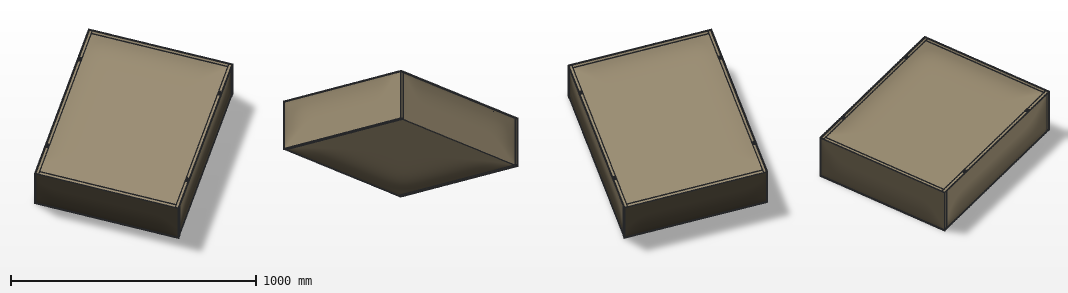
import cadquery as cq

sheet = 1.9
width = 613.5
length = 762.0
total_height = 210.0
head_height = 3.0
flange = 16.0
corner_relief = 3.0

screw_span = 594.0
screw_spacing = 457.0
shank_diameter = 4.8
shank_length = 11.5
head_diameter = 10.0
head_top_diameter = 7.2
socket_diameter = 4.35
socket_depth = 1.5
keyhole_diameter = 11.5
keyhole_travel = 6.0

cover_top = total_height - head_height
cover_bottom = cover_top - sheet
flange_bottom = cover_bottom - sheet
wrapper_width = width - 2 * sheet
wrapper_length = length - 2 * sheet
top_opening_width = width - 2 * flange
screw_x = screw_span / 2
screw_y = screw_spacing / 2
screw_points = [(x, y) for x in (-screw_x, screw_x) for y in (-screw_y, screw_y)]


def block(x_size, y_size, z_low, z_high):
    """Box centred on the Z axis between two heights."""
    return cq.Workplane("XY").workplane(offset=z_low).rect(x_size, y_size).extrude(z_high - z_low)


def rods(diameter, z_low, z_high):
    """Upright cylinders on all screw axes."""
    level = cq.Workplane("XY").workplane(offset=z_low).pushPoints(screw_points)
    return level.circle(diameter / 2).extrude(z_high - z_low)


def make_wrapper():
    """Floor and two side walls, each wall with a flange turned in under the cover."""
    body = block(wrapper_width, wrapper_length, 0, cover_bottom)
    inside = block(wrapper_width - 2 * sheet, wrapper_length, sheet, flange_bottom)
    opening = block(top_opening_width, wrapper_length, flange_bottom, cover_bottom)
    screw_holes = rods(shank_diameter, flange_bottom, cover_bottom)
    return body.cut(inside).cut(opening).cut(screw_holes)


def make_end_plate():
    """End plate at -Y: side flanges lap the outside of the wrapper's walls, a bottom flange
    rests on its floor, and a top flange lies between its top flanges."""
    front_y = -length / 2
    flange_y = front_y + flange / 2
    body = block(width, flange, 0, cover_bottom).translate((0, flange_y, 0))
    interior = block(wrapper_width - 2 * sheet, wrapper_length, 2 * sheet, flange_bottom)
    plate = body.cut(make_wrapper()).cut(interior)
    side_bottoms = block(width, flange, 0, corner_relief).translate((0, flange_y + sheet, 0))
    floor_room = block(wrapper_width, length, 0, corner_relief)
    return plate.cut(side_bottoms.cut(floor_room))


def make_cover():
    """Flat cover with a keyhole at each screw: a slot as wide as the shank, its large end toward -Y."""
    cover = block(width, length, cover_bottom, cover_top)
    shank_ends = rods(shank_diameter, cover_bottom, cover_top)
    large_ends = rods(keyhole_diameter, cover_bottom, cover_top).translate((0, -keyhole_travel, 0))
    cover = cover.cut(shank_ends).cut(large_ends)
    for x, y in screw_points:
        slot = block(shank_diameter, keyhole_travel, cover_bottom, cover_top)
        cover = cover.cut(slot.translate((x, y - keyhole_travel / 2, 0)))
    return cover


def make_screw(x, y):
    """Screw with a tapered round head, socketed in the top, resting on the cover."""
    profile = [
        (0, cover_top - shank_length),
        (shank_diameter / 2, cover_top - shank_length),
        (shank_diameter / 2, cover_top),
        (head_diameter / 2, cover_top),
        (head_top_diameter / 2, total_height),
        (socket_diameter / 2, total_height),
        (socket_diameter / 2, total_height - socket_depth),
        (0, total_height - socket_depth),
    ]
    return cq.Workplane("XZ").polyline(profile).close().revolve().translate((x, y, 0))


wrapper = make_wrapper()
front_plate = make_end_plate()
back_plate = front_plate.mirror("XZ")
cover = make_cover()
screws = [make_screw(x, y) for x, y in screw_points]

result = cq.Compound.makeCompound([
    wrapper.val(),
    front_plate.val(),
    back_plate.val(),
    cover.val(),
    *[screw.val() for screw in screws],
])